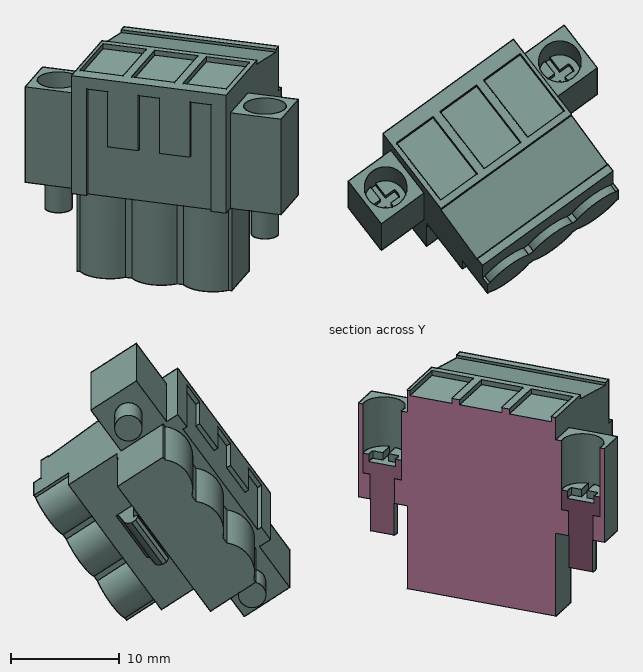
import cadquery as cq


overall_width = 24.8
poles = 3
body_width = 15.0
pitch = body_width / poles
half_body = body_width / 2
pole_centres = [(i - (poles - 1) / 2) * pitch for i in range(poles)]

base_z = 8.35
top_z = 20.1
back_y = 15.3
overall_depth = 16.1
undercut_y = 12.2
deck_depth = 8.93
slope_start_z = 19.7
slope_end_z = 18.72
ridge_y = 14.48
ridge_z = 19.0

port_radius = 2.75
port_z = 12.97
port_land_half_height = 1.6

plug_land_y = 1.64
plug_front_y = 0.7
plug_back_y = 6.72
plug_collar_back_y = 6.8
plug_collar_height = 1.07
plug_radius = 3.0

pocket_width = 4.2
pocket_length = 6.8
pocket_front_y = 1.46
pocket_depth = 0.5
pocket_offset = -0.07

recess_width = 12.05
recess_top_margin = 1.15
recess_depth = 0.42
tab_width = 2.95
tab_bottom_z = 13.47

latch_width = pitch
latch_root_back = (10.35, base_z)
latch_shoulder_back = (10.07, 8.0)
latch_bend_start = (9.47, 5.53)
latch_bend_middle = (9.18, 4.79)
latch_tip_back = (8.6, 4.1)
latch_tip_front = (8.15, 4.1)
latch_barb_nose = (7.94, 4.65)
latch_barb_middle = (8.0, 5.03)
latch_neck_bottom = (8.38, 5.33)
latch_neck_top = (8.38, 7.3)
latch_shoulder_front = (8.18, 7.85)
latch_root_front = (7.99, base_z)

flange_front_y = 1.25
flange_depth = 5.08
flange_height = 9.5
flange_width = (overall_width - body_width) / 2

screw_x = (poles + 1) / 2 * pitch
screw_y = flange_front_y + flange_depth / 2
screw_tip_z = 5.15
shank_radius = 1.26
head_radius = 1.95
head_height = 1.98
head_sink = 4.95
head_top_z = base_z + flange_height - head_sink
head_seat_z = head_top_z - head_height
drive_depth = 0.75
slot_width = 0.57
cross_slot_width = 0.82
cross_slot_radius = 1.36


def box(x0, x1, y0, y1, z0, z1):
    """Box between two opposite corners."""
    return cq.Workplane("XY").box(x1 - x0, y1 - y0, z1 - z0, centered=False).translate((x0, y0, z0))


def cylinder(radius, x, y, z0, z1):
    """Upright cylinder between two heights."""
    return cq.Workplane("XY").center(x, y).circle(radius).extrude(z1 - z0).translate((0, 0, z0))


def side_profile(outline, width):
    """Extrude a closed YZ outline symmetrically about X = 0."""
    return outline.close().extrude(width / 2, both=True)


def trim_to_body_width(shape):
    """Cut the outermost barrels flush with the sides of the main block."""
    return shape.intersect(box(-half_body, half_body, 0, overall_depth, 0, top_z))


def make_main_block():
    outline = cq.Workplane("YZ").polyline([
        (0, base_z),
        (0, top_z),
        (deck_depth, top_z),
        (deck_depth, slope_start_z),
        (ridge_y, slope_end_z),
        (ridge_y, ridge_z),
        (back_y, ridge_z),
        (back_y, port_z),
        (undercut_y, port_z),
        (undercut_y, base_z),
    ])
    return side_profile(outline, body_width)


def make_wire_ports():
    ports = box(-half_body, half_body, undercut_y, overall_depth,
                port_z - port_land_half_height, port_z + port_land_half_height)
    for x in pole_centres:
        barrel = cq.Workplane("XZ").center(x, port_z).circle(port_radius).extrude(undercut_y - overall_depth)
        ports = ports.union(barrel.translate((0, undercut_y, 0)))
    return trim_to_body_width(ports)


def make_plug():
    plug = box(-half_body, half_body, plug_land_y, plug_back_y, 0, base_z)
    collar = box(-half_body, half_body, plug_land_y, plug_collar_back_y, base_z - plug_collar_height, base_z)
    plug = plug.union(collar)
    for x in pole_centres:
        plug = plug.union(cylinder(plug_radius, x, plug_front_y + plug_radius, 0, base_z))
    return trim_to_body_width(plug)


def make_latch():
    outline = (
        cq.Workplane("YZ")
        .moveTo(*latch_root_back)
        .lineTo(*latch_shoulder_back)
        .lineTo(*latch_bend_start)
        .threePointArc(latch_bend_middle, latch_tip_back)
        .lineTo(*latch_tip_front)
        .lineTo(*latch_barb_nose)
        .threePointArc(latch_barb_middle, latch_neck_bottom)
        .lineTo(*latch_neck_top)
        .lineTo(*latch_shoulder_front)
        .lineTo(*latch_root_front)
    )
    return side_profile(outline, latch_width)


def make_flange(side):
    """Flange block on one side (-1 or +1), bored and counterbored for its screw."""
    centre_x = side * (half_body + flange_width / 2)
    top = base_z + flange_height
    flange = box(centre_x - flange_width / 2, centre_x + flange_width / 2,
                 flange_front_y, flange_front_y + flange_depth, base_z, top)
    flange = flange.cut(cylinder(head_radius, side * screw_x, screw_y, head_seat_z, top))
    return flange.cut(cylinder(shank_radius, side * screw_x, screw_y, base_z, head_seat_z))


def make_top_pockets():
    pockets = cq.Workplane("XY")
    for x in pole_centres:
        left = x + pocket_offset - pocket_width / 2
        pockets = pockets.add(box(left, left + pocket_width, pocket_front_y, pocket_front_y + pocket_length,
                                  top_z - pocket_depth, top_z))
    return pockets.combine()


def make_front_recess():
    recess_top_z = top_z - recess_top_margin
    recess = box(-recess_width / 2, recess_width / 2, 0, recess_depth, base_z, recess_top_z)
    for left_pole, right_pole in zip(pole_centres, pole_centres[1:]):
        x = (left_pole + right_pole) / 2
        tab = box(x - tab_width / 2, x + tab_width / 2, 0, recess_depth, tab_bottom_z, recess_top_z)
        recess = recess.cut(tab)
    return recess


def make_housing():
    housing = make_main_block().union(make_wire_ports()).union(make_plug()).union(make_latch())
    for side in (-1, 1):
        housing = housing.union(make_flange(side))
    return housing.cut(make_top_pockets()).cut(make_front_recess())


def make_screw(x):
    """Sunk screw: a slot right across the head and a shorter, round-ended one across it."""
    shank = cylinder(shank_radius, x, screw_y, screw_tip_z, head_seat_z)
    head = cylinder(head_radius, x, screw_y, head_seat_z, head_top_z)
    floor_z = head_top_z - drive_depth
    slot = box(x - slot_width / 2, x + slot_width / 2,
               screw_y - head_radius, screw_y + head_radius, floor_z, head_top_z)
    cross_slot = box(x - cross_slot_radius, x + cross_slot_radius,
                     screw_y - cross_slot_width / 2, screw_y + cross_slot_width / 2, floor_z, head_top_z)
    cross_slot = cross_slot.intersect(cylinder(cross_slot_radius, x, screw_y, floor_z, head_top_z))
    return shank.union(head).cut(slot).cut(cross_slot)


housing = make_housing()
screws = [make_screw(side * screw_x) for side in (-1, 1)]

result = cq.Compound.makeCompound([housing.val(), *[screw.val() for screw in screws]])